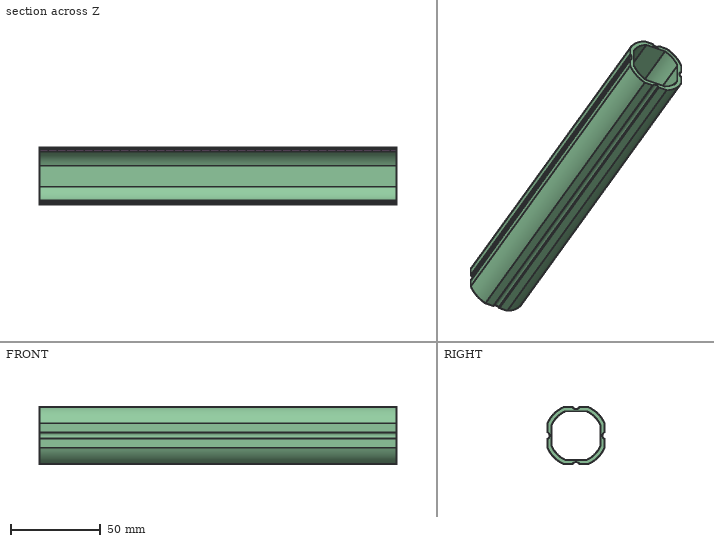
import cadquery as cq

length = 200.0
width = 32.0
wall = 2.5

outer_radius = 17.5
inner_radius = 14.8

groove_half_width = 1.9
arc_half_width = 1.48
flank_depth = 0.5
groove_depth = 1.1


def rounded_square_bar(side, corner_radius):
    """Square bar whose corners are cut to a cylinder about its axis."""
    square = cq.Workplane("YZ").rect(side, side).extrude(length)
    cylinder = cq.Workplane("YZ").circle(corner_radius).extrude(length)
    return square.intersect(cylinder)


def groove_cutter():
    """Bar that cuts the groove in the +Z flat."""
    surface = width / 2
    arc_start = surface - flank_depth
    return (
        cq.Workplane("YZ")
        .moveTo(-groove_half_width, surface)
        .lineTo(-arc_half_width, arc_start)
        .threePointArc((0, surface - groove_depth), (arc_half_width, arc_start))
        .lineTo(groove_half_width, surface)
        .close()
        .extrude(length)
    )


outer = rounded_square_bar(width, outer_radius)
bore = rounded_square_bar(width - 2 * wall, inner_radius)
result = outer.cut(bore)

for angle in (0, 90, 180, 270):
    result = result.cut(groove_cutter().rotate((0, 0, 0), (1, 0, 0), angle))